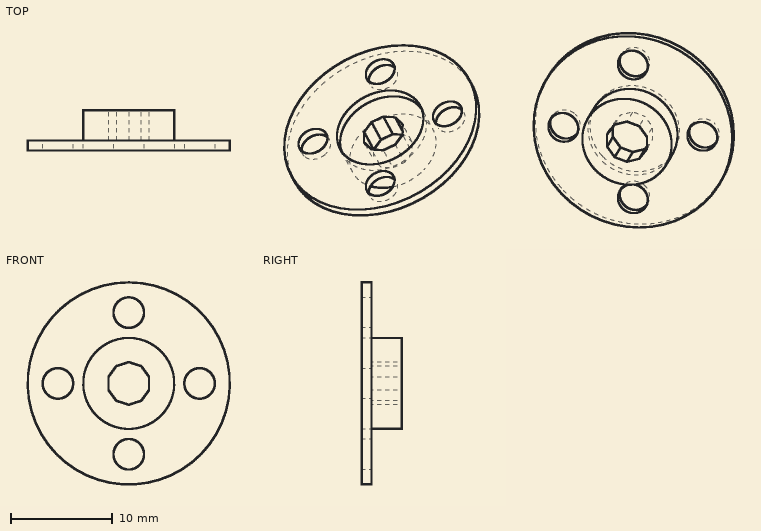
import cadquery as cq

flange_diameter = 20.0
flange_thickness = 1.0

hub_diameter = 9.0
hub_length = 3.0

bore_sides = 10
bore_corner_diameter = 4.2

hole_count = 4
hole_diameter = 3.0
hole_circle_radius = 7.0


def plane_at(y):
    """Sketch plane facing +Y at depth y, with its local x along +Z."""
    return cq.Workplane(cq.Plane(origin=(0, y, 0), xDir=(0, 0, 1), normal=(0, 1, 0)))


def make_flange():
    """Disc with a central opening as wide as the hub and a ring of holes."""
    disc = (
        plane_at(0)
        .circle(flange_diameter / 2)
        .circle(hub_diameter / 2)
        .extrude(flange_thickness)
    )
    holes = (
        plane_at(0)
        .polarArray(hole_circle_radius, 0, 360, hole_count)
        .circle(hole_diameter / 2)
        .extrude(flange_thickness)
    )
    return disc.cut(holes)


def make_hub():
    """Cylinder starting at the flange's back face, with bore corners on +Z and -Z."""
    return (
        plane_at(flange_thickness)
        .circle(hub_diameter / 2)
        .polygon(bore_sides, bore_corner_diameter)
        .extrude(hub_length)
    )


flange = make_flange()
hub = make_hub()

result = cq.Compound.makeCompound([flange.val(), hub.val()])